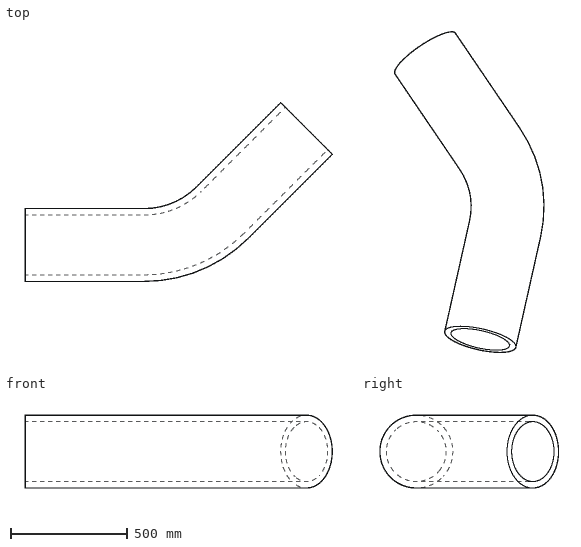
import cadquery as cq
import math

overall_length = 1323.0
outer_diameter = 315.0
bore_diameter = 258.0
bend_radius = 476.0
bend_angle = 45.0

sin_bend = math.sin(math.radians(bend_angle))
cos_bend = math.cos(math.radians(bend_angle))
end_face_reach = outer_diameter / 2 * sin_bend
leg_length = (overall_length - bend_radius * sin_bend - end_face_reach) / (1 + cos_bend)


def ring_section(plane):
    """Pipe wall cross-section, centred on the given plane."""
    return cq.Workplane(plane).circle(outer_diameter / 2).circle(bore_diameter / 2)


bend_start = cq.Plane(origin=(0, 0, 0), xDir=(0, 1, 0), normal=(1, 0, 0))
bend_end = cq.Plane(
    origin=(bend_radius * sin_bend, bend_radius * (1 - cos_bend), 0),
    xDir=(-sin_bend, cos_bend, 0),
    normal=(cos_bend, sin_bend, 0),
)

first_leg = ring_section(bend_start).extrude(-leg_length)

bend = ring_section(bend_start).revolve(bend_angle, (bend_radius, 0, 0), (bend_radius, 1, 0))

second_leg = ring_section(bend_end).extrude(leg_length)

result = first_leg.union(bend).union(second_leg)